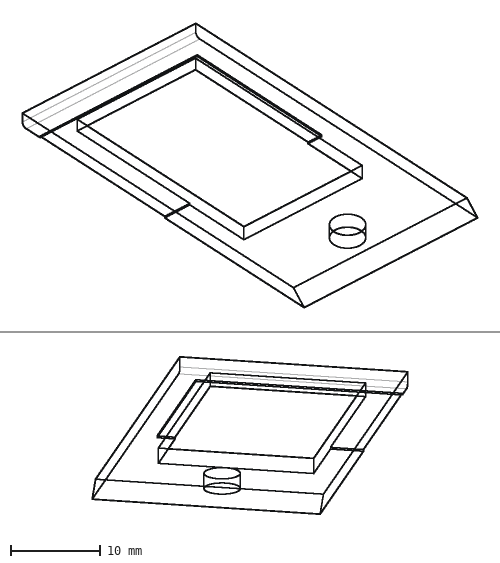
import cadquery as cq

length = 47.2
width = 26.05
thickness = 1.8
bevel_run = 1.8
edge_radius = 0.6

window_left = 5.0
window_front = 3.78
window_length = 27.9
window_width = 17.75

hole_diameter = 4.05
hole_x = 40.35
hole_y = window_front + window_width / 2

relief_left = 2.95
relief_right = 23.85
relief_depth = 0.2
relief_width = 23.6


def make_plate():
    """Plate with a sloped right end and a rounded lower left edge."""
    profile = (
        cq.Workplane("XZ")
        .moveTo(edge_radius, 0)
        .lineTo(length, 0)
        .lineTo(length - bevel_run, thickness)
        .lineTo(0, thickness)
        .lineTo(0, edge_radius)
        .radiusArc((edge_radius, 0), -edge_radius)
        .close()
    )
    return profile.extrude(-width)


def make_window():
    return cq.Workplane("XY").box(window_length, window_width, thickness, centered=False).translate(
        (window_left, window_front, 0)
    )


def make_hole():
    return cq.Workplane("XY").center(hole_x, hole_y).circle(hole_diameter / 2).extrude(thickness)


def make_relief():
    return cq.Workplane("XY").box(relief_right - relief_left, relief_width, relief_depth, centered=False).translate(
        (relief_left, 0, 0)
    )


result = make_plate().cut(make_window()).cut(make_hole()).cut(make_relief())